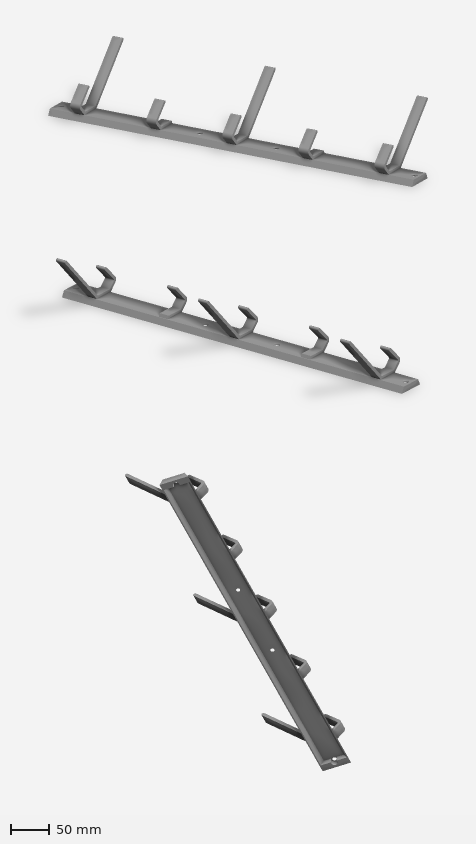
import cadquery as cq
import math

overall_length = 550.0
rail_base_width = 40.0
rail_top_width = 31.5
rail_height = 9.0
rail_wall = 1.5

cap_thickness = 2.0
plug_length = 8.0
rail_length = overall_length - 2 * cap_thickness

screw_hole_diameter = 5.0
screw_head_diameter = 9.0
countersink_angle = 90
inner_screw_x = 58.0
outer_screw_x = 267.0
screw_positions = [-outer_screw_x, -inner_screw_x, inner_screw_x, outer_screw_x]

hook_width = 15.0
strip_thickness = 4.5
hook_pitch = 115.0
overall_depth = 112.0
overall_height = 86.0
floor_back_y = 12.5
front_reach_y = -27.5
front_bend_z = 23.0
front_bend_radius = 6.0
front_tip_z = 47.0
long_hook_positions = [-2 * hook_pitch, 0, 2 * hook_pitch]
short_hook_positions = [-hook_pitch, hook_pitch]

floor_bottom_z = rail_height
floor_top_z = floor_bottom_z + strip_thickness
tip_radius = strip_thickness / 2
front_arm_angle = math.radians(45)

outer_corner_y = front_reach_y - front_bend_radius * (math.sqrt(2) - 1)
inner_corner_y = outer_corner_y + strip_thickness * math.sqrt(2)
floor_front_bottom_y = outer_corner_y + front_bend_z - floor_bottom_z
floor_front_top_y = inner_corner_y + front_bend_z - floor_top_z

front_tip_center_z = front_tip_z - tip_radius
front_tip_center_y = (outer_corner_y + inner_corner_y) / 2 + front_tip_center_z - front_bend_z

long_tip_center_y = front_reach_y + overall_depth - tip_radius
long_tip_center_z = overall_height - tip_radius
long_reach_y = long_tip_center_y - floor_back_y
long_reach_z = long_tip_center_z - floor_top_z
long_arm_angle = math.atan2(long_reach_z, long_reach_y) + math.asin(
    tip_radius / math.hypot(long_reach_y, long_reach_z)
)
fold_offset = strip_thickness * math.tan(long_arm_angle / 2)


def make_trapezoid_bar(start_x, length, base_width, top_width, height):
    half_base = base_width / 2
    half_top = top_width / 2
    return (
        cq.Workplane("YZ", origin=(start_x, 0, 0))
        .polyline([(-half_base, 0), (half_base, 0), (half_top, height), (-half_top, height)])
        .close()
        .extrude(length)
    )


def make_outer_bar(start_x, length):
    return make_trapezoid_bar(start_x, length, rail_base_width, rail_top_width, rail_height)


def make_cavity_bar(start_x, length):
    """Inside of the rail, which the cap plugs fill at both ends."""
    return make_trapezoid_bar(
        start_x,
        length,
        rail_base_width - 2 * rail_wall,
        rail_top_width - 2 * rail_wall,
        rail_height - rail_wall,
    )


def make_rail():
    rail_start = -rail_length / 2
    return (
        make_outer_bar(rail_start, rail_length)
        .faces(">Z")
        .workplane(origin=(0, 0, rail_height))
        .pushPoints([(x, 0) for x in screw_positions])
        .cskHole(screw_hole_diameter, screw_head_diameter, countersink_angle)
        .cut(make_cavity_bar(rail_start, rail_length))
    )


def make_end_cap(plate_start_x, plug_start_x, screw_x):
    screw_passage = (
        cq.Workplane("XY")
        .center(screw_x, 0)
        .circle(screw_head_diameter / 2)
        .extrude(rail_height)
    )
    plug = make_cavity_bar(plug_start_x, plug_length).cut(screw_passage)
    return make_outer_bar(plate_start_x, cap_thickness).union(plug)


def add_round_tip(profile, center_y, center_z, arm_angle):
    """Continue the profile along an arm's face, round its tip and stop at the other face."""
    along_y = tip_radius * math.cos(arm_angle)
    along_z = tip_radius * math.sin(arm_angle)
    return (
        profile.lineTo(center_y - along_z, center_z + along_y)
        .threePointArc(
            (center_y + along_y, center_z + along_z),
            (center_y + along_z, center_z - along_y),
        )
    )


def make_hook(center_x, has_long_arm):
    profile = (
        cq.Workplane("YZ", origin=(center_x - hook_width / 2, 0, 0))
        .moveTo(floor_back_y + fold_offset, floor_bottom_z)
        .lineTo(floor_front_bottom_y, floor_bottom_z)
        .lineTo(outer_corner_y, front_bend_z)
    )
    profile = (
        add_round_tip(profile, front_tip_center_y, front_tip_center_z, front_arm_angle)
        .lineTo(inner_corner_y, front_bend_z)
        .lineTo(floor_front_top_y, floor_top_z)
        .lineTo(floor_back_y, floor_top_z)
    )
    if has_long_arm:
        profile = add_round_tip(profile, long_tip_center_y, long_tip_center_z, long_arm_angle)
    hook = profile.close().extrude(hook_width)

    outer_bend = cq.selectors.NearestToPointSelector((center_x, outer_corner_y, front_bend_z))
    hook = hook.edges(outer_bend).fillet(front_bend_radius)
    inner_bend = cq.selectors.NearestToPointSelector((center_x, inner_corner_y, front_bend_z))
    return hook.edges(inner_bend).fillet(front_bend_radius - strip_thickness)


rail = make_rail()
end_caps = [
    make_end_cap(-overall_length / 2, -rail_length / 2, -outer_screw_x),
    make_end_cap(rail_length / 2, rail_length / 2 - plug_length, outer_screw_x),
]
long_hooks = [make_hook(x, True) for x in long_hook_positions]
short_hooks = [make_hook(x, False) for x in short_hook_positions]

bodies = [rail, *end_caps, *long_hooks, *short_hooks]
result = cq.Compound.makeCompound([body.val() for body in bodies])